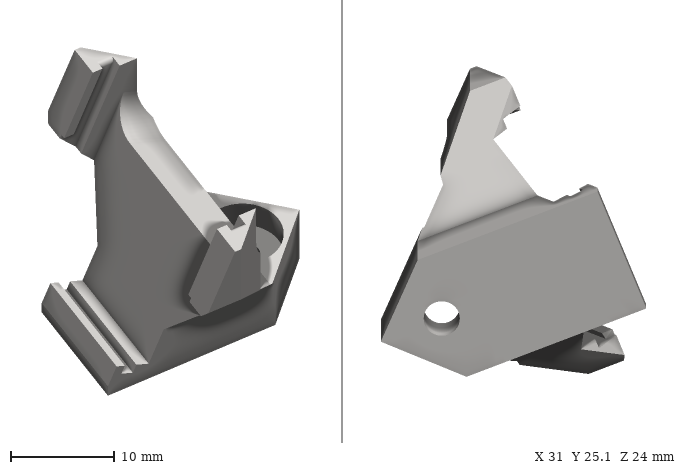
import cadquery as cq
import math

HALF_WIDTH = 15.5
DEPTH = 25.15
HEIGHT = 24.0
FOOT_HALF_WIDTH = 6.4
FOOT_SIDE_HEIGHT = 6.05
OVERHANG_ANGLE = math.radians(50)
LEAN_ANGLE = math.radians(23)

HOLE_DIAMETER = 3.5
SEAT_DIAMETER = 8.0
SEAT_FLOOR = 4.0
REAR_BLOCK_HEIGHT = 7.0
SEAT_WALL = 0.5
REAR_WALL_HEIGHT = 9.95

FOOT_LEDGE = 1.5
FOOT_SLOT_WIDTH = 1.4
ARM_LEDGE = 2.0
ARM_SLOT_WIDTH = 1.5
LIP_THICKNESS = 1.0
FOOT_SLOT_DEPTH = 1.0
ARM_INNER = 11.5
LIP_INNER = 12.0
SLOT_OUTER = 12.55
SLOT_MOUTH_RADIUS = 0.5
LIP_END_HEIGHT = 16.42

OPENING_FRONT_HEIGHT = 16.75
OPENING_RADIUS = 3.5

CORNER_Y = (SEAT_DIAMETER / 2 + SEAT_WALL) * math.sqrt(2)
FRONT_Y = CORNER_Y - DEPTH
REAR_WALL_Y = -SEAT_DIAMETER / 2
LEDGE_CORNER_Y = -14.22
LEDGE_CORNER_Z = 2.1
COS_LEAN = math.cos(LEAN_ANGLE)
SIN_LEAN = math.sin(LEAN_ANGLE)
TAN_LEAN = math.tan(LEAN_ANGLE)
TAN_OVERHANG = math.tan(OVERHANG_ANGLE)
CLEARANCE = 40.0

LIP_START = ARM_LEDGE + ARM_SLOT_WIDTH
ARM_FRONT = LIP_START + LIP_THICKNESS


def lean_plane(offset):
    """Plane parallel to the front face: local x is X, local y runs up the face."""
    origin = (0, LEDGE_CORNER_Y - offset * COS_LEAN, LEDGE_CORNER_Z + offset * SIN_LEAN)
    return cq.Workplane(cq.Plane(origin=origin, xDir=(1, 0, 0), normal=(0, -COS_LEAN, SIN_LEAN)))


def lean_point(out, up):
    """(Y, Z) of a point `out` in front of the leaning face and `up` along it."""
    y = LEDGE_CORNER_Y - out * COS_LEAN + up * SIN_LEAN
    z = LEDGE_CORNER_Z + out * SIN_LEAN + up * COS_LEAN
    return (y, z)


def up_at_height(out, z):
    """Distance along the leaning face at which a point `out` in front reaches height z."""
    return (z - LEDGE_CORNER_Z - out * SIN_LEAN) / COS_LEAN


def side_prism(points, x_start, x_end):
    """Extrude a (Y, Z) outline from x_start to x_end."""
    return cq.Workplane("YZ", origin=(x_start, 0, 0)).polyline(points).close().extrude(x_end - x_start)


def make_core():
    """Rear block, leaning wall and slotted foot as one side profile."""
    foot_slot_end = FOOT_LEDGE + FOOT_SLOT_WIDTH
    foot_front = foot_slot_end + LIP_THICKNESS
    lip_front_y, lip_front_z = lean_point(foot_front, 0)
    foot_front_top = lip_front_z - (lip_front_y - FRONT_Y) / TAN_LEAN
    slope_start_y = REAR_WALL_Y + REAR_WALL_HEIGHT - REAR_BLOCK_HEIGHT
    outline = [
        (CORNER_Y, 0),
        (CORNER_Y, REAR_BLOCK_HEIGHT),
        (slope_start_y, REAR_BLOCK_HEIGHT),
        (REAR_WALL_Y, REAR_WALL_HEIGHT),
        (REAR_WALL_Y, HEIGHT),
        lean_point(0, up_at_height(0, HEIGHT)),
        lean_point(0, 0),
        lean_point(FOOT_LEDGE, 0),
        lean_point(FOOT_LEDGE, -FOOT_SLOT_DEPTH),
        lean_point(foot_slot_end, -FOOT_SLOT_DEPTH),
        lean_point(foot_slot_end, 0),
        (lip_front_y, lip_front_z),
        (FRONT_Y, foot_front_top),
        (FRONT_Y, 0),
    ]
    return side_prism(outline, -HALF_WIDTH, HALF_WIDTH)


def make_arm():
    """Forward part of the right arm, with its underside at the overhang angle."""
    inner_z = FOOT_SIDE_HEIGHT + (ARM_INNER - FOOT_HALF_WIDTH) * TAN_OVERHANG
    inner_y, _ = lean_point(0, up_at_height(0, inner_z))
    underside_length = ARM_FRONT / math.cos(OVERHANG_ANGLE - LEAN_ANGLE)
    outline = [
        (inner_y, inner_z),
        (
            inner_y - underside_length * math.cos(OVERHANG_ANGLE),
            inner_z + underside_length * math.sin(OVERHANG_ANGLE),
        ),
        lean_point(ARM_FRONT, up_at_height(ARM_FRONT, HEIGHT)),
        (REAR_WALL_Y, HEIGHT),
    ]
    return side_prism(outline, ARM_INNER, HALF_WIDTH)


def make_plan():
    """Plan outline: a right-angled rear corner with straight sides."""
    side_y = CORNER_Y - HALF_WIDTH
    outline = [
        (0, CORNER_Y),
        (HALF_WIDTH, side_y),
        (HALF_WIDTH, FRONT_Y),
        (-HALF_WIDTH, FRONT_Y),
        (-HALF_WIDTH, side_y),
    ]
    return cq.Workplane("XY").polyline(outline).close().extrude(HEIGHT)


def make_silhouette():
    """Frontal outline: narrow foot widening to the arms."""
    flank_top = FOOT_SIDE_HEIGHT + (HALF_WIDTH - FOOT_HALF_WIDTH) * TAN_OVERHANG
    half = [
        (FOOT_HALF_WIDTH, 0),
        (FOOT_HALF_WIDTH, FOOT_SIDE_HEIGHT),
        (HALF_WIDTH, flank_top),
        (HALF_WIDTH, HEIGHT),
    ]
    outline = half + [(-x, z) for x, z in reversed(half)]
    return cq.Workplane("XZ").polyline(outline).close().extrude(CLEARANCE, both=True)


def make_opening():
    """Round-cornered opening between the arms, square to the leaning face."""
    floor = up_at_height(0, OPENING_FRONT_HEIGHT)
    return (
        lean_plane(0)
        .center(0, floor + CLEARANCE / 2)
        .rect(2 * ARM_INNER, CLEARANCE)
        .extrude(CLEARANCE, both=True)
        .edges(cq.selectors.ParallelDirSelector(cq.Vector(0, -COS_LEAN, SIN_LEAN)))
        .fillet(OPENING_RADIUS)
    )


def make_arm_channel():
    """Slot, lip relief and lip-end notch cut into the right arm."""
    lip_end = up_at_height(ARM_FRONT, LIP_END_HEIGHT)
    slot_layer = lean_plane(ARM_LEDGE).rect(CLEARANCE, 2 * CLEARANCE).extrude(ARM_SLOT_WIDTH)
    slot = (
        cq.Workplane("XZ")
        .lineTo(SLOT_OUTER, 0)
        .lineTo(SLOT_OUTER, HEIGHT - SLOT_MOUTH_RADIUS)
        .radiusArc((SLOT_OUTER + SLOT_MOUTH_RADIUS, HEIGHT), SLOT_MOUTH_RADIUS)
        .lineTo(0, HEIGHT)
        .close()
        .extrude(CLEARANCE, both=True)
        .intersect(slot_layer)
    )
    lip_relief = (
        lean_plane(LIP_START)
        .moveTo(0, -CLEARANCE)
        .lineTo(SLOT_OUTER, -CLEARANCE)
        .lineTo(SLOT_OUTER, lip_end)
        .lineTo(LIP_INNER, lip_end)
        .lineTo(LIP_INNER, CLEARANCE)
        .lineTo(0, CLEARANCE)
        .close()
        .extrude(LIP_THICKNESS)
    )
    bevel_drop = LIP_THICKNESS * SIN_LEAN
    lip_bevel = (
        cq.Workplane("XZ")
        .polyline(
            [
                (LIP_INNER, LIP_END_HEIGHT),
                (SLOT_OUTER, LIP_END_HEIGHT - bevel_drop),
                (LIP_INNER, LIP_END_HEIGHT - bevel_drop),
            ]
        )
        .close()
        .extrude(CLEARANCE)
        .intersect(lean_plane(LIP_START).rect(CLEARANCE, 2 * CLEARANCE).extrude(LIP_THICKNESS))
    )
    return slot.union(lip_relief).union(lip_bevel)


def make_screw_seat():
    """Through hole with a flat seat that also clears the rear slope."""
    hole = cq.Workplane("XY").circle(HOLE_DIAMETER / 2).extrude(HEIGHT)
    seat = cq.Workplane("XY", origin=(0, 0, SEAT_FLOOR)).circle(SEAT_DIAMETER / 2).extrude(HEIGHT)
    return hole.union(seat)


right_arm = make_arm().cut(make_arm_channel())
body = make_core().cut(make_opening())
body = body.union(right_arm).union(right_arm.mirror("YZ"))
result = body.intersect(make_plan()).intersect(make_silhouette()).cut(make_screw_seat())